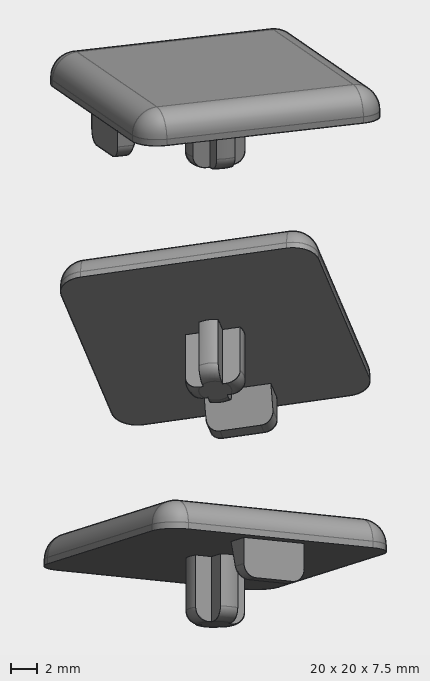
import cadquery as cq

plate_side = 20.0
plate_thickness = 2.5
edge_radius = 2.0

post_diameter = 4.5
post_length = 5.0
post_tip_radius = 1.0
rib_thickness = 1.5

tab_width = 5.2
tab_length = 3.0
tab_root_depth = 2.0
tab_tip_depth = 1.0
tab_edge_inset = 1.0
tab_corner_radius = 1.0


def make_plate():
    """Square cap with its underside at Z = 0 and rounded corners and top edges."""
    block = cq.Workplane("XY").box(plate_side, plate_side, plate_thickness, centered=(True, True, False))
    return block.edges("|Z").fillet(edge_radius).faces(">Z").edges().fillet(edge_radius)


def make_post():
    """Two crossed ribs trimmed to a round-tipped cylinder."""
    envelope = cq.Workplane("XY").circle(post_diameter / 2).extrude(-post_length)
    envelope = envelope.faces("<Z").edges().fillet(post_tip_radius)
    ribs = (
        cq.Workplane("XY")
        .rect(post_diameter, rib_thickness)
        .extrude(-post_length)
        .union(cq.Workplane("XY").rect(rib_thickness, post_diameter).extrude(-post_length))
    )
    return envelope.intersect(ribs)


def make_tab():
    """Tab with a vertical outer face, a sloping inner face and rounded lower corners."""
    outer_y = -plate_side / 2 + tab_edge_inset
    wedge = (
        cq.Workplane("YZ")
        .moveTo(outer_y, 0)
        .lineTo(outer_y + tab_root_depth, 0)
        .lineTo(outer_y + tab_tip_depth, -tab_length)
        .lineTo(outer_y, -tab_length)
        .close()
        .extrude(tab_width / 2, both=True)
    )
    outline = (
        cq.Workplane("XY")
        .box(tab_width, tab_root_depth, tab_length, centered=(True, False, False))
        .translate((0, outer_y, -tab_length))
        .edges("|Y and <Z")
        .fillet(tab_corner_radius)
    )
    return wedge.intersect(outline)


result = make_plate().union(make_post()).union(make_tab())